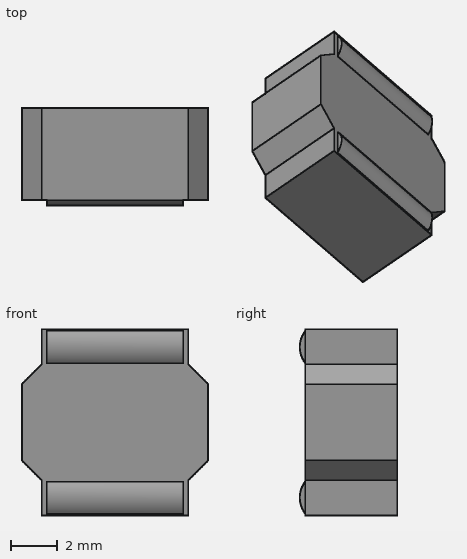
import cadquery as cq

body_size = 8.0
end_width = 6.3
flat_height = 3.27
body_depth = 3.95

terminal_length = 5.85
terminal_height = 1.38
terminal_bulge = 0.24
terminal_inset = 0.08

half_size = body_size / 2
half_end = end_width / 2
half_flat = flat_height / 2
notch_depth = half_size - half_end
slope_top = half_flat + notch_depth
terminal_center = half_size - terminal_inset - terminal_height / 2


def make_body():
    """Notched block with its front face on Y = 0, extending toward +Y."""
    quarter = [
        (half_size, half_flat),
        (half_end, slope_top),
        (half_end, half_size),
    ]
    upper = quarter + [(-x, z) for x, z in reversed(quarter)]
    lower = [(-x, -z) for x, z in upper]
    return cq.Workplane("XZ").polyline(upper + lower).close().extrude(-body_depth)


def make_terminal(center_z):
    """Bar with a circular-arc profile standing out from the front face."""
    half_height = terminal_height / 2
    return (
        cq.Workplane("YZ")
        .moveTo(0, center_z - half_height)
        .threePointArc((-terminal_bulge, center_z), (0, center_z + half_height))
        .close()
        .extrude(terminal_length / 2, both=True)
    )


result = make_body()
for side in (1, -1):
    result = result.union(make_terminal(side * terminal_center))